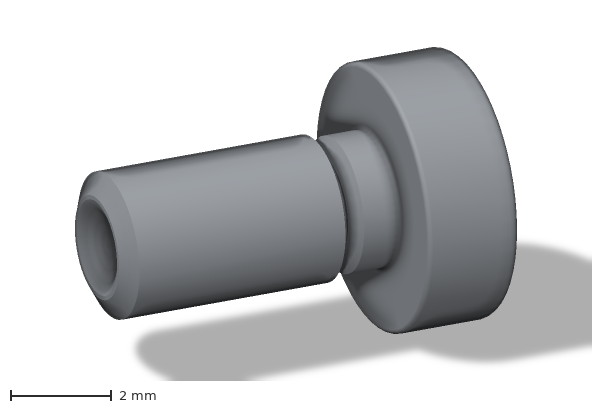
import cadquery as cq
import math

total_length = 8.0
head_radius = 2.75
head_length = 2.0
head_top_fillet = 0.2
head_underside_fillet = 0.1

neck_radius = 1.4
neck_end = 2.8
neck_fillet = 0.1
groove_radius = 1.06
groove_position = 3.0

shank_diameter = 3.0
shank_radius = shank_diameter / 2
cone_angle = math.radians(30)
tip_radius = 1.06
recess_radius = 0.98
recess_depth = 0.26

head_top = total_length / 2
head_underside = head_top - head_length
neck_cone_start = head_top - neck_end
groove_y = head_top - groove_position
shank_start = groove_y - (shank_radius - groove_radius) * math.tan(cone_angle)
tip = -total_length / 2
shank_end = tip + (shank_radius - tip_radius) * math.tan(cone_angle)


def arc_middle(center_x, center_y, radius, degrees):
    """Point on a circle, used as the middle of an arc."""
    angle = math.radians(degrees)
    return (center_x + radius * math.cos(angle), center_y + radius * math.sin(angle))


def make_body():
    """Head, neck and shank as one half profile revolved about Y, with a spherical dish in the tip."""
    ball_radius = (recess_radius**2 + recess_depth**2) / (2 * recess_depth)
    recess_half_angle = math.degrees(math.asin(recess_radius / ball_radius))
    recess_middle = arc_middle(0, tip + recess_depth - ball_radius, ball_radius, 90 - recess_half_angle / 2)
    underside_middle = arc_middle(
        head_radius - head_underside_fillet, head_underside + head_underside_fillet, head_underside_fillet, -45
    )
    top_middle = arc_middle(head_radius - head_top_fillet, head_top - head_top_fillet, head_top_fillet, 45)
    neck_middle = arc_middle(neck_radius + neck_fillet, head_underside - neck_fillet, neck_fillet, 135)
    profile = (
        cq.Workplane("XY")
        .moveTo(0, tip + recess_depth)
        .threePointArc(recess_middle, (recess_radius, tip))
        .lineTo(tip_radius, tip)
        .lineTo(shank_radius, shank_end)
        .lineTo(shank_radius, shank_start)
        .lineTo(groove_radius, groove_y)
        .lineTo(neck_radius, neck_cone_start)
        .lineTo(neck_radius, head_underside - neck_fillet)
        .threePointArc(neck_middle, (neck_radius + neck_fillet, head_underside))
        .lineTo(head_radius - head_underside_fillet, head_underside)
        .threePointArc(underside_middle, (head_radius, head_underside + head_underside_fillet))
        .lineTo(head_radius, head_top - head_top_fillet)
        .threePointArc(top_middle, (head_radius - head_top_fillet, head_top))
        .lineTo(0, head_top)
        .close()
    )
    return profile.revolve(360, (0, 0, 0), (0, 1, 0))


result = make_body()